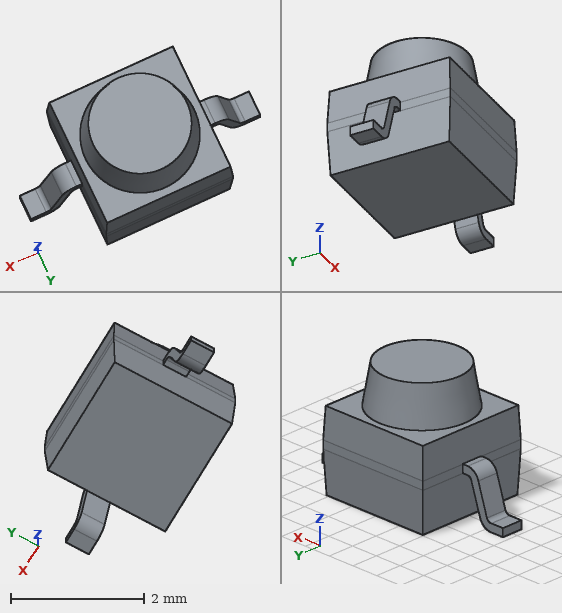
import cadquery as cq
import math

lead_span = 3.8
body_width = 2.1
total_height = 2.23

body_bottom = 0.02
body_top = 1.5
draft_angle = 2.7

button_bottom_diameter = 1.8
button_top_diameter = 1.55

lead_thickness = 0.152
lead_width = 0.4
lead_top = 0.94
foot_length = 0.25
inner_bend_radius = 0.09
bend_angle = math.radians(72)

band_top = lead_top
band_bottom = lead_top - lead_thickness


def make_body():
    band_height = band_top - band_bottom
    upper_height = body_top - band_top
    lower_height = band_bottom - body_bottom
    band = (
        cq.Workplane("XY")
        .workplane(offset=band_bottom)
        .rect(body_width, body_width)
        .extrude(band_height)
    )
    upper = band.faces(">Z").wires().toPending().extrude(upper_height, combine=False, taper=draft_angle)
    lower = band.faces("<Z").wires().toPending().extrude(-lower_height, combine=False, taper=draft_angle)
    return band.union(upper).union(lower)


def make_button():
    return (
        cq.Workplane("XY")
        .workplane(offset=body_top)
        .circle(button_bottom_diameter / 2)
        .workplane(offset=total_height - body_top)
        .circle(button_top_diameter / 2)
        .loft(ruled=True)
    )


def make_right_lead():
    """Lead on the +X side, running from the body centre out to the foot tip."""
    outer_radius = inner_bend_radius + lead_thickness
    sine = math.sin(bend_angle)
    cosine = math.cos(bend_angle)

    bends_sum = inner_bend_radius + outer_radius
    leg_length = (lead_top - lead_thickness - bends_sum * (1 - cosine)) / sine

    tip_x = lead_span / 2
    lower_x = tip_x - foot_length
    lower_z = outer_radius
    upper_x = lower_x - bends_sum * sine - leg_length * cosine
    upper_z = lead_top - outer_radius

    def upper_bend_end(radius):
        return upper_x + radius * sine, upper_z + radius * cosine

    def lower_bend_end(radius):
        return lower_x - radius * sine, lower_z - radius * cosine

    return (
        cq.Workplane("XZ")
        .moveTo(0, lead_top)
        .lineTo(upper_x, lead_top)
        .tangentArcPoint(upper_bend_end(outer_radius), relative=False)
        .lineTo(*lower_bend_end(inner_bend_radius))
        .tangentArcPoint((lower_x, lead_thickness), relative=False)
        .lineTo(tip_x, lead_thickness)
        .lineTo(tip_x, 0)
        .lineTo(lower_x, 0)
        .tangentArcPoint(lower_bend_end(outer_radius), relative=False)
        .lineTo(*upper_bend_end(inner_bend_radius))
        .tangentArcPoint((upper_x, band_bottom), relative=False)
        .lineTo(0, band_bottom)
        .close()
        .extrude(lead_width / 2, both=True)
    )


right_lead = make_right_lead()
left_lead = right_lead.mirror("YZ")
result = make_body().union(make_button()).union(right_lead).union(left_lead)